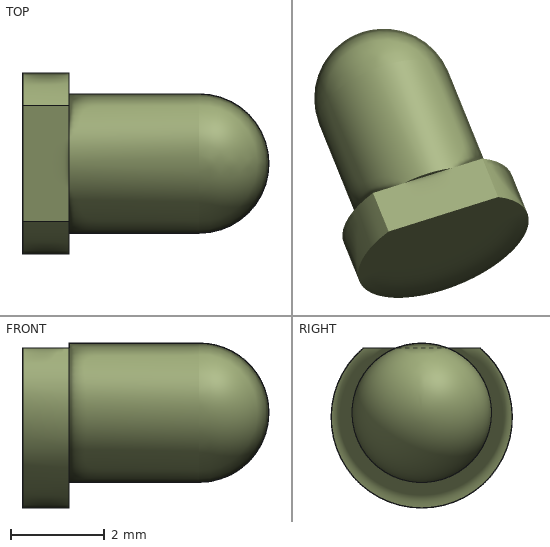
import math

import cadquery as cq

flange_diameter = 3.9
flange_thickness = 1.0
flat_width = 2.5

pin_diameter = 3.0
pin_offset = 0.1
total_length = 5.3

flange_radius = flange_diameter / 2
flat_height = math.sqrt(flange_radius**2 - (flat_width / 2) ** 2)
pin_radius = pin_diameter / 2
dome_start = total_length - pin_radius


def make_flange():
    disc = cq.Workplane("YZ").circle(flange_radius).extrude(flange_thickness)
    below_flat = cq.Workplane("XY").box(
        flange_thickness,
        flange_diameter,
        flange_radius + flat_height,
        centered=(False, True, False),
    )
    return disc.intersect(below_flat.translate((0, 0, -flange_radius)))


def make_pin():
    half_profile = (
        cq.Workplane("XZ", origin=(0, 0, pin_offset))
        .moveTo(flange_thickness, 0)
        .lineTo(flange_thickness, pin_radius)
        .lineTo(dome_start, pin_radius)
        .radiusArc((total_length, 0), pin_radius)
        .close()
    )
    return half_profile.revolve(360, (0, 0, 0), (1, 0, 0))


result = make_flange().union(make_pin())